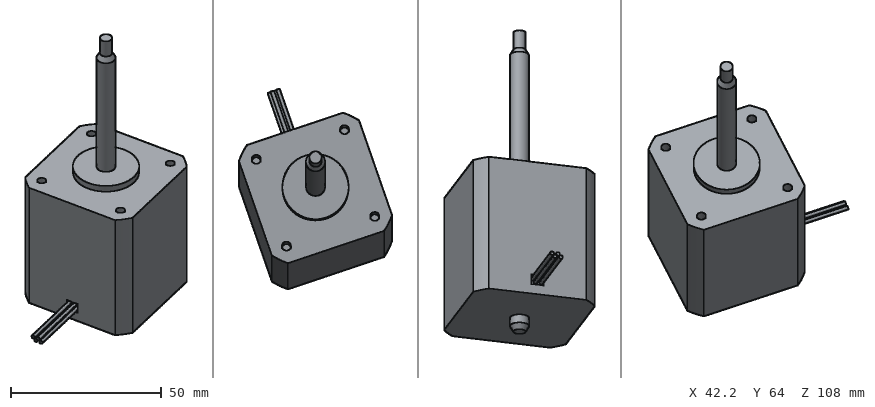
import cadquery as cq
import math

body_width = 42.2
body_height = 47.6
corner_cut = 4.2

boss_diameter = 22.0
boss_height = 2.4
hole_spacing = 31.0
hole_diameter = 3.0
hole_depth = 4.3

total_height = 108.0
shaft_diameter = 6.4
tip_diameter = 4.1
tip_length = 6.3
cone_height = 1.9
rear_length = 4.9

outlet_width = 4.3
outlet_height = 3.6
outlet_depth = 1.1
outlet_center_z = 5.2
wire_count = 4
wire_diameter = 1.3
wire_length = 21.8
wire_row_spacing = 1.0

half_width = body_width / 2
side_end = half_width - corner_cut


def make_body():
    """Square prism whose corners are turned to one circle about the shaft axis."""
    corner_radius = math.hypot(half_width, side_end)
    square = cq.Workplane("XY").rect(body_width, body_width).extrude(body_height)
    turned = cq.Workplane("XY").circle(corner_radius).extrude(body_height)
    return square.intersect(turned)


def make_boss():
    return cq.Workplane("XY").workplane(offset=body_height).circle(boss_diameter / 2).extrude(boss_height)


def make_shaft():
    """Stepped shaft with a tapered shoulder at the front and a tapered rear end."""
    bottom = -rear_length
    top = total_height - rear_length
    shoulder = top - tip_length
    tip_radius = tip_diameter / 2
    shaft_radius = shaft_diameter / 2
    profile = [
        (0, bottom),
        (tip_radius, bottom),
        (shaft_radius, bottom + cone_height),
        (shaft_radius, shoulder - cone_height),
        (tip_radius, shoulder),
        (tip_radius, top),
        (0, top),
    ]
    return cq.Workplane("XZ").polyline(profile).close().revolve(360, (0, 0, 0), (0, 1, 0))


def make_mounting_holes():
    return (
        cq.Workplane("XY")
        .workplane(offset=body_height - hole_depth)
        .rect(hole_spacing, hole_spacing, forConstruction=True)
        .vertices()
        .circle(hole_diameter / 2)
        .extrude(hole_depth)
    )


def make_outlet():
    return cq.Workplane("XY").box(outlet_width, 2 * outlet_depth, outlet_height).translate(
        (0, -half_width, outlet_center_z)
    )


def make_wires():
    """Wires alternate between an upper and a lower row and start inside the body."""
    pitch = (outlet_width - wire_diameter) / (wire_count - 1)
    embedded_length = 2 * outlet_depth
    centers = []
    for index in range(wire_count):
        row = 1 if index % 2 == 0 else -1
        x = (index - (wire_count - 1) / 2) * pitch
        z = outlet_center_z + row * wire_row_spacing / 2
        centers.append((x, z))
    return (
        cq.Workplane("XZ", origin=(0, embedded_length - half_width, 0))
        .pushPoints(centers)
        .circle(wire_diameter / 2)
        .extrude(embedded_length + wire_length)
    )


housing = make_body().union(make_boss()).cut(make_mounting_holes()).cut(make_outlet())
result = housing.union(make_shaft()).union(make_wires())